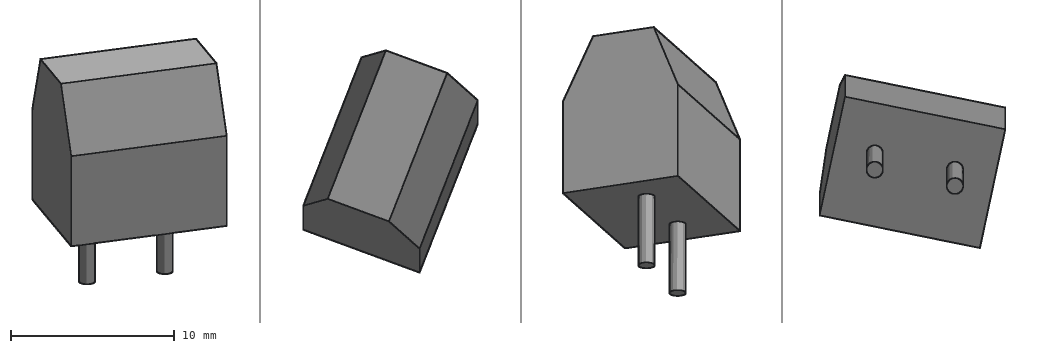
import cadquery as cq

housing_width = 7.6
housing_length = 10.0
housing_height = 10.0
shoulder_height = 6.0
left_slope_run = 1.6
right_slope_run = 2.0

pin_diameter = 1.0
pin_length = 4.5
pin_pitch = 5.0
pin_inset = 3.1

left_wall = -pin_inset
right_wall = left_wall + housing_width


def make_housing():
    """Extrude the end profile along Y."""
    profile = [
        (left_wall, 0),
        (right_wall, 0),
        (right_wall, shoulder_height),
        (right_wall - right_slope_run, housing_height),
        (left_wall + left_slope_run, housing_height),
        (left_wall, shoulder_height),
    ]
    return cq.Workplane("XZ").polyline(profile).close().extrude(housing_length / 2, both=True)


def make_pin(y):
    """Round pin hanging from the underside of the housing."""
    return cq.Workplane("XY").center(0, y).circle(pin_diameter / 2).extrude(-pin_length)


housing = make_housing()
pins = [make_pin(y) for y in (-pin_pitch / 2, pin_pitch / 2)]

result = cq.Compound.makeCompound([housing.val(), *[pin.val() for pin in pins]])